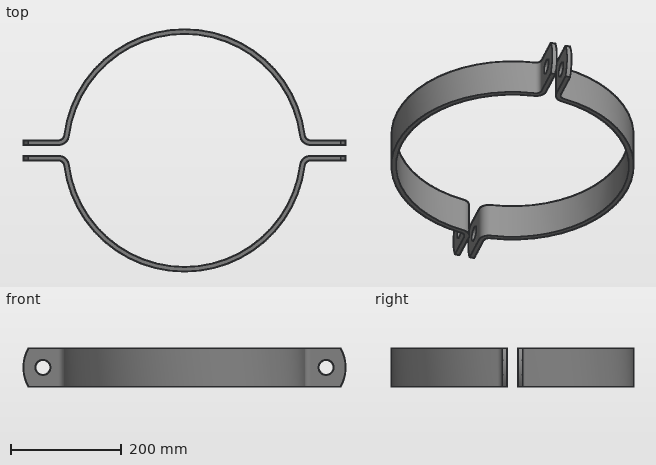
import cadquery as cq
import math

LENGTH = 582.0
BAND_WIDTH = 70.0
THICKNESS = 9.0
RING_OUTER_RADIUS = 219.0
GAP = 19.0
BEND_RADIUS = 10.5
HOLE_DIAMETER = 27.0
HOLE_TO_TIP = 35.5
TIP_RADIUS = 70.0

RING_INNER_RADIUS = RING_OUTER_RADIUS - THICKNESS
OUTER_BEND_RADIUS = BEND_RADIUS + THICKNESS
EAR_INNER_Y = GAP / 2
EAR_OUTER_Y = EAR_INNER_Y + THICKNESS
HALF_LENGTH = LENGTH / 2

BEND_Y = EAR_OUTER_Y + BEND_RADIUS
BEND_CENTER_DISTANCE = RING_OUTER_RADIUS + BEND_RADIUS
BEND_X = math.sqrt(BEND_CENTER_DISTANCE**2 - BEND_Y**2)
JOIN_ANGLE = math.asin(BEND_Y / BEND_CENTER_DISTANCE)
BEND_MIDDLE_ANGLE = (math.pi + JOIN_ANGLE + 1.5 * math.pi) / 2


def ring_point(radius, side):
    """Point where the ring meets the bend; side is +1 or -1 along X."""
    return (side * radius * math.cos(JOIN_ANGLE), radius * math.sin(JOIN_ANGLE))


def bend_middle(radius, side):
    """Middle point of a bend arc; side is +1 or -1 along X."""
    x = BEND_X + radius * math.cos(BEND_MIDDLE_ANGLE)
    y = BEND_Y + radius * math.sin(BEND_MIDDLE_ANGLE)
    return (side * x, y)


def bent_strip():
    """Half ring with a bend and a flat ear at each end."""
    return (
        cq.Workplane("XY")
        .workplane(offset=-BAND_WIDTH / 2)
        .moveTo(-HALF_LENGTH, EAR_OUTER_Y)
        .lineTo(-BEND_X, EAR_OUTER_Y)
        .threePointArc(bend_middle(BEND_RADIUS, -1), ring_point(RING_OUTER_RADIUS, -1))
        .threePointArc((0, RING_OUTER_RADIUS), ring_point(RING_OUTER_RADIUS, 1))
        .threePointArc(bend_middle(BEND_RADIUS, 1), (BEND_X, EAR_OUTER_Y))
        .lineTo(HALF_LENGTH, EAR_OUTER_Y)
        .lineTo(HALF_LENGTH, EAR_INNER_Y)
        .lineTo(BEND_X, EAR_INNER_Y)
        .threePointArc(bend_middle(OUTER_BEND_RADIUS, 1), ring_point(RING_INNER_RADIUS, 1))
        .threePointArc((0, RING_INNER_RADIUS), ring_point(RING_INNER_RADIUS, -1))
        .threePointArc(bend_middle(OUTER_BEND_RADIUS, -1), (-BEND_X, EAR_INNER_Y))
        .lineTo(-HALF_LENGTH, EAR_INNER_Y)
        .close()
        .extrude(BAND_WIDTH)
    )


def rounded_outline():
    """Block with arc-shaped ends that trims the ear tips."""
    half_width = BAND_WIDTH / 2
    tip_depth = TIP_RADIUS - math.sqrt(TIP_RADIUS**2 - half_width**2)
    corner_x = HALF_LENGTH - tip_depth
    return (
        cq.Workplane("XZ")
        .moveTo(-corner_x, -half_width)
        .lineTo(corner_x, -half_width)
        .threePointArc((HALF_LENGTH, 0), (corner_x, half_width))
        .lineTo(-corner_x, half_width)
        .threePointArc((-HALF_LENGTH, 0), (-corner_x, -half_width))
        .close()
        .extrude(-RING_OUTER_RADIUS)
    )


def bolt_holes():
    """Cylinders through both ears, along Y."""
    hole_x = HALF_LENGTH - HOLE_TO_TIP
    return (
        cq.Workplane("XZ")
        .pushPoints([(-hole_x, 0), (hole_x, 0)])
        .circle(HOLE_DIAMETER / 2)
        .extrude(-RING_OUTER_RADIUS)
    )


def clamp_half(rotation):
    """One clamp half, turned about the ring axis by rotation degrees."""
    half = bent_strip().intersect(rounded_outline()).cut(bolt_holes())
    return half.rotate((0, 0, 0), (0, 0, 1), rotation)


clamp_halves = [clamp_half(rotation) for rotation in (0, 180)]

result = cq.Compound.makeCompound([solid for half in clamp_halves for solid in half.vals()])